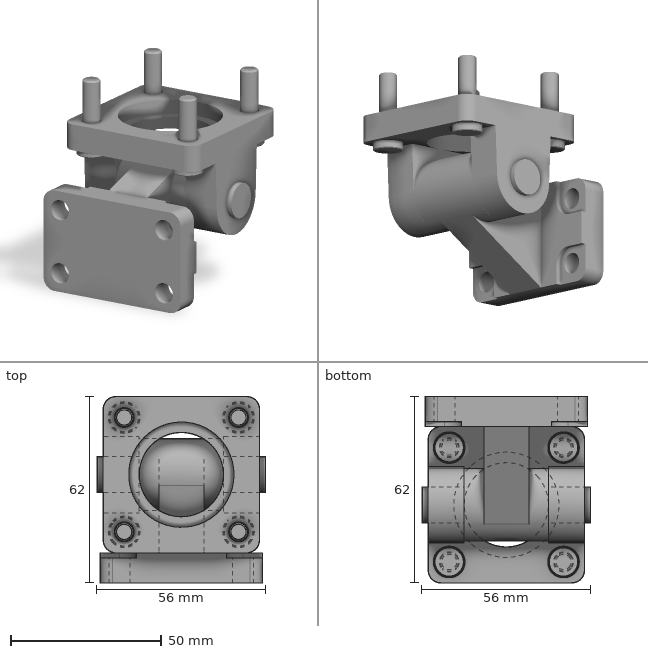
import cadquery as cq
import math


joint_diameter = 24.0
pin_diameter = 12.0
pin_length = 56.0
barrel_length = 28.0

flange_side = 52.0
flange_thickness = 9.0
flange_top = 25.0
flange_corner_radius = 4.3
arm_draft = 2.5
bore_diameter = 28.0
recess_diameter = 35.0
recess_depth = 5.0

screw_spacing = 38.0
screw_hole_diameter = 6.6
head_seat_diameter = 10.5
head_seat_depth = 3.5
shank_diameter = 6.0
shank_length = 20.0
shank_chamfer = 0.5
head_diameter = 10.0
head_height = 6.0
head_chamfer = 0.3

foot_width = 54.05
foot_height = 35.0
foot_thickness = 10.0
foot_top = 4.5
foot_corner_radius = 4.2
foot_hole_diameter = 7.0
foot_hole_spacing_x = 41.0
foot_hole_spacing_z = 22.0
corner_seat_radius = 5.5
corner_seat_depth = 1.75
rib_width = 15.0

joint_radius = joint_diameter / 2
flange_bottom = flange_top - flange_thickness
head_seat_top = flange_bottom + head_seat_depth
foot_back_y = -flange_side / 2
foot_front_y = foot_back_y - foot_thickness
foot_bottom = foot_top - foot_height
foot_middle_z = foot_top - foot_height / 2


def cylinder_along_x(diameter, length):
    return cq.Workplane("YZ", origin=(-length / 2, 0, 0)).circle(diameter / 2).extrude(length)


def joint_point(angle):
    """Point (y, z) on the joint circle, with the angle in radians from +Y."""
    return (joint_radius * math.cos(angle), joint_radius * math.sin(angle))


def tangent_angle(y, z, turn):
    """Angle on the joint circle where a line from (y, z) touches it."""
    return math.atan2(z, y) + turn * math.acos(joint_radius / math.hypot(y, z))


def make_arms():
    """Two drafted arms with round ends that are tangent to their sides."""
    draft = math.radians(arm_draft)
    top_half_width = joint_radius / math.cos(draft) + flange_bottom * math.tan(draft)
    touch_y, touch_z = joint_point(-draft)
    outline = (
        cq.Workplane("YZ")
        .moveTo(-top_half_width, flange_bottom)
        .lineTo(-touch_y, touch_z)
        .threePointArc((0, -joint_radius), (touch_y, touch_z))
        .lineTo(top_half_width, flange_bottom)
        .close()
    )
    block = outline.extrude(flange_side / 2, both=True)
    gap = cq.Workplane("XY").box(barrel_length, 2 * flange_side, 2 * flange_side)
    return block.cut(gap)


def make_fork():
    flange = (
        cq.Workplane("XY")
        .workplane(offset=flange_bottom)
        .rect(flange_side, flange_side)
        .extrude(flange_thickness)
        .edges("|Z")
        .fillet(flange_corner_radius)
    )
    fork = flange.union(make_arms())

    top_plane = cq.Workplane("XY", origin=(0, 0, flange_top))
    bore = top_plane.circle(bore_diameter / 2).extrude(-flange_thickness)
    recess = top_plane.circle(recess_diameter / 2).extrude(-recess_depth)
    fork = fork.cut(bore).cut(recess)

    holes = (
        cq.Workplane("XY")
        .workplane(offset=flange_bottom)
        .rect(screw_spacing, screw_spacing, forConstruction=True)
        .vertices()
    )
    clearance = holes.circle(screw_hole_diameter / 2).extrude(flange_thickness)
    seats = holes.circle(head_seat_diameter / 2).extrude(head_seat_depth)
    fork = fork.cut(clearance).cut(seats)

    return fork.cut(cylinder_along_x(pin_diameter, pin_length))


def make_rib():
    """Web between the foot and the barrel, tangent to the barrel above and below."""
    upper_touch = tangent_angle(foot_back_y, foot_top, -1)
    lower_touch = tangent_angle(foot_back_y, foot_bottom, 1)
    return (
        cq.Workplane("YZ")
        .moveTo(foot_back_y, foot_top)
        .lineTo(*joint_point(upper_touch))
        .lineTo(0, 0)
        .lineTo(*joint_point(lower_touch))
        .lineTo(foot_back_y, foot_bottom)
        .close()
        .extrude(rib_width / 2, both=True)
    )


def make_foot_plate():
    plate = (
        cq.Workplane("XY")
        .box(foot_width, foot_thickness, foot_height)
        .edges("|Y")
        .fillet(foot_corner_radius)
        .translate((0, (foot_front_y + foot_back_y) / 2, foot_middle_z))
    )
    seat_size = foot_hole_spacing_z
    shift = seat_size / 2 - corner_seat_radius
    for side_x in (-1, 1):
        for side_z in (-1, 1):
            hole_x = side_x * foot_hole_spacing_x / 2
            hole_z = foot_middle_z + side_z * foot_hole_spacing_z / 2
            seat_x = hole_x + side_x * shift
            seat_z = hole_z + side_z * shift
            seat = (
                cq.Workplane("XY")
                .box(seat_size, corner_seat_depth, seat_size)
                .edges("|Y")
                .fillet(corner_seat_radius)
                .translate((seat_x, foot_back_y - corner_seat_depth / 2, seat_z))
            )
            hole = (
                cq.Workplane("XZ", origin=(hole_x, foot_back_y, hole_z))
                .circle(foot_hole_diameter / 2)
                .extrude(foot_thickness)
            )
            plate = plate.cut(seat).cut(hole)
    return plate


def make_foot():
    """Foot plate, rib, barrel and the pin ends that turn in the fork."""
    barrel = cylinder_along_x(joint_diameter, barrel_length)
    pin = cylinder_along_x(pin_diameter, pin_length)
    return make_foot_plate().union(make_rib()).union(barrel).union(pin)


def make_screw(x, y):
    head = (
        cq.Workplane("XY", origin=(x, y, head_seat_top))
        .circle(head_diameter / 2)
        .extrude(-head_height)
        .faces("<Z")
        .chamfer(head_chamfer)
    )
    shank = (
        cq.Workplane("XY", origin=(x, y, head_seat_top))
        .circle(shank_diameter / 2)
        .extrude(shank_length)
        .faces(">Z")
        .chamfer(shank_chamfer)
    )
    return head.union(shank)


fork = make_fork()
foot = make_foot()
screws = [
    make_screw(side_x * screw_spacing / 2, side_y * screw_spacing / 2)
    for side_x in (-1, 1)
    for side_y in (-1, 1)
]

result = cq.Compound.makeCompound([fork.val(), foot.val(), *[screw.val() for screw in screws]])